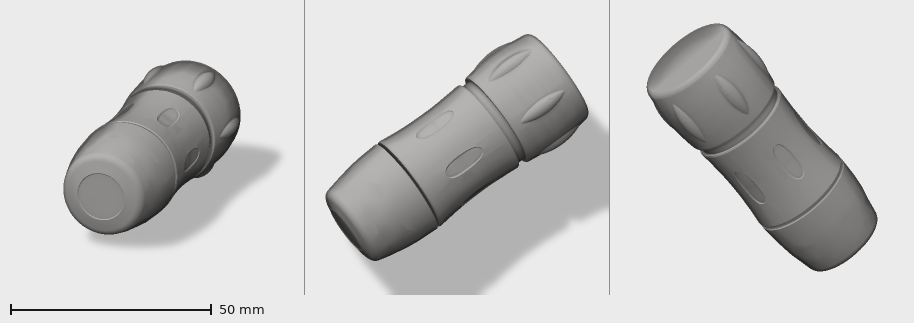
import cadquery as cq

TOTAL_LENGTH = 66.6
GRIP_COUNT = 6
EDGE_LENGTH = 0.4
EDGE_DROP = 0.15

CAP_LENGTH = 18.7
CAP_RADIUS = 13.0
CAP_ROUND_START = 2.55
CAP_ROUND_START_RADIUS = 10.85
NOSE_LENGTH = 0.7
NOSE_RADIUS = 9.15
RECESS_RIM_RADIUS = 6.2
RECESS_FLOOR_RADIUS = 5.98
RECESS_DEPTH = 0.2

FRONT_NECK_LENGTH = 0.85
FRONT_NECK_RADIUS = 8.8
REAR_NECK_LENGTH = 2.45
REAR_NECK_RADIUS = 11.8

NUT_LENGTH = 19.6
NUT_END_RADIUS = 13.05
NUT_BELLY_RADIUS = 27.57 / 2
NUT_REAR_RADIUS = 12.0
NUT_ROUND_LENGTH = 1.3
NUT_ROUND_RADIUS = 2.0

SLEEVE_FRONT_RADIUS = 13.0
SLEEVE_REAR_RADIUS = 12.65
WAIST_RADIUS = 12.1
WAIST_Y = 33.3

RIB_TIP_RADIUS = 29.66 / 2
RIB_THICKNESS_RADIUS = 2.2
RIB_HALF_LENGTH = 8.25

DIMPLE_Y = 32.35
DIMPLE_RIM_HALF_LENGTH = 5.6
DIMPLE_RIM_HALF_WIDTH = 2.85
DIMPLE_FLOOR_HALF_LENGTH = 5.3
DIMPLE_FLOOR_HALF_WIDTH = 1.8
DIMPLE_RIM_RADIUS = 12.2
DIMPLE_FLOOR_RADIUS = 11.67
DIMPLE_END_RADIUS = 12.0
DIMPLE_CUTTER_TOP = 14.0

SLEEVE_FRONT = CAP_LENGTH + FRONT_NECK_LENGTH
NUT_FRONT = TOTAL_LENGTH - NUT_LENGTH
SLEEVE_REAR = NUT_FRONT - REAR_NECK_LENGTH
NUT_BELLY_START = NUT_FRONT + EDGE_LENGTH
NUT_BELLY_END = TOTAL_LENGTH - NUT_ROUND_LENGTH
NUT_BELLY_Y = (NUT_BELLY_START + NUT_BELLY_END) / 2

CAP_ARC_LENGTH = CAP_LENGTH - CAP_ROUND_START
CAP_ARC_DROP = CAP_RADIUS - CAP_ROUND_START_RADIUS
CAP_ARC_RADIUS = (CAP_ARC_LENGTH**2 + CAP_ARC_DROP**2) / (2 * CAP_ARC_DROP)


def revolve_about_y(profile):
    return profile.close().revolve(360, (0, 0, 0), (0, 1, 0))


def around_axis(shape):
    """Yield the copies of a +X feature, evenly spaced around the Y axis."""
    for index in range(GRIP_COUNT):
        yield shape.rotate((0, 0, 0), (0, 1, 0), index * 360 / GRIP_COUNT)


def make_housing_blank():
    """Cap, front neck, waisted sleeve and rear neck in one turned profile."""
    profile = (
        cq.Workplane("XY")
        .moveTo(0, RECESS_DEPTH)
        .lineTo(RECESS_FLOOR_RADIUS, RECESS_DEPTH)
        .lineTo(RECESS_RIM_RADIUS, 0)
        .lineTo(NOSE_RADIUS, NOSE_LENGTH)
        .tangentArcPoint((CAP_ROUND_START_RADIUS, CAP_ROUND_START), relative=False)
        .radiusArc((CAP_RADIUS, CAP_LENGTH), -CAP_ARC_RADIUS)
        .lineTo(FRONT_NECK_RADIUS, CAP_LENGTH)
        .lineTo(FRONT_NECK_RADIUS, SLEEVE_FRONT)
        .lineTo(SLEEVE_FRONT_RADIUS - EDGE_DROP, SLEEVE_FRONT)
        .lineTo(SLEEVE_FRONT_RADIUS, SLEEVE_FRONT + EDGE_LENGTH)
        .threePointArc((WAIST_RADIUS, WAIST_Y), (SLEEVE_REAR_RADIUS, SLEEVE_REAR - EDGE_LENGTH))
        .lineTo(SLEEVE_REAR_RADIUS - EDGE_DROP, SLEEVE_REAR)
        .lineTo(REAR_NECK_RADIUS, SLEEVE_REAR)
        .lineTo(REAR_NECK_RADIUS, NUT_FRONT)
        .lineTo(0, NUT_FRONT)
    )
    return revolve_about_y(profile)


def make_dimple_cutter():
    """Oval cutter on +X: walls flared near the floor, and a floor hollowed along the Y axis."""
    flare = (
        cq.Workplane("YZ", origin=(DIMPLE_FLOOR_RADIUS, DIMPLE_Y, 0))
        .ellipse(DIMPLE_FLOOR_HALF_LENGTH, DIMPLE_FLOOR_HALF_WIDTH)
        .workplane(offset=DIMPLE_RIM_RADIUS - DIMPLE_FLOOR_RADIUS)
        .ellipse(DIMPLE_RIM_HALF_LENGTH, DIMPLE_RIM_HALF_WIDTH)
        .loft()
    )
    outer = (
        cq.Workplane("YZ", origin=(DIMPLE_RIM_RADIUS, DIMPLE_Y, 0))
        .ellipse(DIMPLE_RIM_HALF_LENGTH, DIMPLE_RIM_HALF_WIDTH)
        .extrude(DIMPLE_CUTTER_TOP - DIMPLE_RIM_RADIUS)
    )
    front_end = DIMPLE_Y - DIMPLE_RIM_HALF_LENGTH
    rear_end = DIMPLE_Y + DIMPLE_RIM_HALF_LENGTH
    hollow = (
        cq.Workplane("XY")
        .moveTo(DIMPLE_END_RADIUS, front_end)
        .threePointArc((DIMPLE_FLOOR_RADIUS, DIMPLE_Y), (DIMPLE_END_RADIUS, rear_end))
        .lineTo(DIMPLE_CUTTER_TOP, rear_end)
        .lineTo(DIMPLE_CUTTER_TOP, front_end)
        .close()
        .extrude(DIMPLE_RIM_HALF_WIDTH, both=True)
    )
    return flare.union(outer).intersect(hollow)


def make_housing():
    housing = make_housing_blank()
    for cutter in around_axis(make_dimple_cutter()):
        housing = housing.cut(cutter)
    return housing


def make_nut_blank():
    """Barrel-shaped nut with a rounded rear edge."""
    profile = (
        cq.Workplane("XY")
        .moveTo(0, NUT_FRONT)
        .lineTo(NUT_END_RADIUS - EDGE_DROP, NUT_FRONT)
        .lineTo(NUT_END_RADIUS, NUT_BELLY_START)
        .threePointArc((NUT_BELLY_RADIUS, NUT_BELLY_Y), (NUT_END_RADIUS, NUT_BELLY_END))
        .radiusArc((NUT_REAR_RADIUS, TOTAL_LENGTH), -NUT_ROUND_RADIUS)
        .lineTo(0, TOTAL_LENGTH)
    )
    return revolve_about_y(profile)


def make_rib():
    """Spindle parallel to Y, mostly sunk in the nut on its +X side."""
    spindle_axis = RIB_TIP_RADIUS - RIB_THICKNESS_RADIUS
    return (
        cq.Workplane("XY", origin=(spindle_axis, NUT_BELLY_Y, 0))
        .moveTo(0, -RIB_HALF_LENGTH)
        .threePointArc((RIB_THICKNESS_RADIUS, 0), (0, RIB_HALF_LENGTH))
        .close()
        .revolve(360, (0, 0, 0), (0, 1, 0))
    )


def make_coupling_nut():
    nut = make_nut_blank()
    for rib in around_axis(make_rib()):
        nut = nut.union(rib)
    return nut


housing = make_housing()
coupling_nut = make_coupling_nut()

result = cq.Compound.makeCompound([housing.val(), coupling_nut.val()])